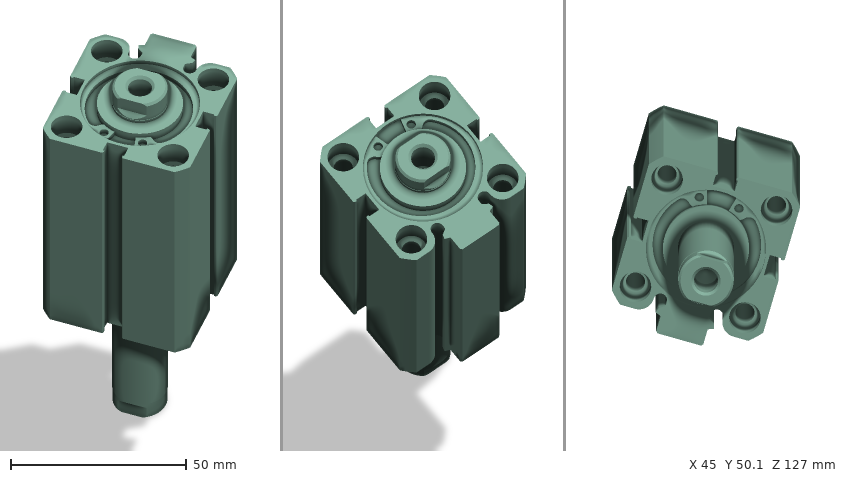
import cadquery as cq
import math

HOUSING_WIDTH = 45.0
HOUSING_LENGTH = 73.0
ROD_ABOVE = 7.0
ROD_BELOW = 47.0
HALF_WIDTH = HOUSING_WIDTH / 2
MID_Z = -HOUSING_LENGTH / 2

CORNER_RADIUS = 29.5
BORE_RADIUS = 17.1
SLOT_FLOOR = 18.0
SLOT_MOUTH_HALF_WIDTH = 2.8
SLOT_MOUTH_CHAMFER = 0.4
SLOT_UNDERCUT = 0.45
SLOT_LIP = 1.0

RAIL_HEIGHT = 5.1
RAIL_HALF_WIDTH = 7.0
RAIL_CHAMFER = 0.5
RAIL_WING_HALF_WIDTH = 8.6
RAIL_WING_ROOT_HALF_WIDTH = 8.3
RAIL_WING_TIP_Y = 21.8
RAIL_WING_ROOT_Y = 20.5
RAIL_NECK_HALF_WIDTH = 6.5
RAIL_NECK_Y = 19.3
CHANNEL_RADIUS = 1.9
CHANNEL_CENTER_Y = 18.0
CHANNEL_CENTER_X = RAIL_NECK_HALF_WIDTH + CHANNEL_RADIUS
CHANNEL_OUTER_X = CHANNEL_CENTER_X + CHANNEL_RADIUS
LOBE_RADIUS = 4.3

BOLT_SPACING = 32.5
BOLT_HOLE_DIAMETER = 5.5
COUNTERBORE_DIAMETER = 9.0
COUNTERBORE_DEPTH = 7.0

RING_DEPTH = 1.3
RING_THICKNESS = 1.7
RING_RADIUS = 17.8
RING_OPENING_RADIUS = 15.5
RING_OPENING_OFFSET = 0.9
RING_GAP_HALF_ANGLE = 15
LUG_RADIUS = 3.3
LUG_FILLET = 2.2
LUG_HOLE_DIAMETER = 2.7
LUG_HOLE_ANGLE = 23.5
LUG_HOLE_DISTANCE = 14.7
LUG_CLEARANCE = 0.3

COLLAR_NOSE_RADIUS = 12.3
COLLAR_SHOULDER_Z = -RING_DEPTH - RING_THICKNESS
COLLAR_LENGTH = 12.7

ROD_RADIUS = 8.0
ROD_END_RADIUS = 7.9
ROD_END_LENGTH = 6.0
ROD_CHAMFER = 0.6
FLAT_HALF_WIDTH = 6.5
FLAT_LENGTH = 4.3
TAP_RADIUS = 3.4
TAP_MOUTH_RADIUS = 4.2
TAP_DEPTH = 13.0
TAP_TIP_ANGLE = 59


def cylinder(radius, top, bottom):
    """Cylinder on the Z axis."""
    return cq.Workplane("XY").workplane(offset=bottom).circle(radius).extrude(top - bottom)


def mirrored_to_other_end(body):
    """Same shape at the lower end of the housing."""
    return body.mirror("XY", (0, 0, MID_Z))


def full_length(sketch):
    """Extrude a section drawn at Z = 0 down the length of the housing."""
    return sketch.extrude(-HOUSING_LENGTH)


def make_t_slot():
    """Cutter for the T-slot on the -Y side."""
    slot_half_width = SLOT_MOUTH_HALF_WIDTH + SLOT_UNDERCUT
    lip_y = -HALF_WIDTH + SLOT_LIP
    half = [
        (slot_half_width, -SLOT_FLOOR),
        (slot_half_width, lip_y),
        (SLOT_MOUTH_HALF_WIDTH, lip_y),
        (SLOT_MOUTH_HALF_WIDTH, -HALF_WIDTH + SLOT_MOUTH_CHAMFER),
        (SLOT_MOUTH_HALF_WIDTH + SLOT_MOUTH_CHAMFER, -HALF_WIDTH),
    ]
    other_half = [(-x, y) for x, y in reversed(half)]
    return full_length(cq.Workplane("XY").polyline(half + other_half).close())


def make_rail():
    """Mounting rail with a small wing along each side."""
    top_y = HALF_WIDTH + RAIL_HEIGHT
    half = [
        (RAIL_NECK_HALF_WIDTH, BORE_RADIUS),
        (RAIL_NECK_HALF_WIDTH, RAIL_NECK_Y),
        (RAIL_WING_ROOT_HALF_WIDTH, RAIL_WING_ROOT_Y),
        (RAIL_WING_HALF_WIDTH, RAIL_WING_TIP_Y),
        (RAIL_HALF_WIDTH, HALF_WIDTH),
        (RAIL_HALF_WIDTH, top_y - RAIL_CHAMFER),
        (RAIL_HALF_WIDTH - RAIL_CHAMFER, top_y),
    ]
    other_half = [(-x, y) for x, y in reversed(half)]
    return full_length(cq.Workplane("XY").polyline(half + other_half).close())


def make_outer_block():
    """Square block with turned corners, the two channels and the rail between them."""
    block = full_length(cq.Workplane("XY").rect(HOUSING_WIDTH, HOUSING_WIDTH))
    recess_depth = HALF_WIDTH - CHANNEL_CENTER_Y
    recess = full_length(
        cq.Workplane("XY")
        .center(0, CHANNEL_CENTER_Y + recess_depth / 2)
        .rect(2 * CHANNEL_OUTER_X, recess_depth)
    )
    block = block.cut(recess)
    lobe_edges = block.edges("|Z").edges(">Y").edges(">>X[1] or >>X[2]")
    block = lobe_edges.fillet(LOBE_RADIUS)
    block = block.intersect(cylinder(CORNER_RADIUS, 0, -HOUSING_LENGTH))

    channels = full_length(
        cq.Workplane("XY")
        .pushPoints([(side * CHANNEL_CENTER_X, CHANNEL_CENTER_Y) for side in (-1, 1)])
        .circle(CHANNEL_RADIUS)
    )
    return block.cut(channels).union(make_rail())


def make_bolt_hole():
    """Cutter for a through hole with a counterbore at each end."""
    hole = cylinder(BOLT_HOLE_DIAMETER / 2, 0, -HOUSING_LENGTH)
    counterbore = cylinder(COUNTERBORE_DIAMETER / 2, 0, -COUNTERBORE_DEPTH)
    return hole.union(counterbore).union(mirrored_to_other_end(counterbore))


def make_housing():
    """Block with T-slots on three sides, bolt holes, bore and ring grooves."""
    housing = make_outer_block()
    slot = make_t_slot()
    for angle in (-90, 0, 90):
        housing = housing.cut(slot.rotate((0, 0, 0), (0, 0, 1), angle))

    bolt_hole = make_bolt_hole()
    for x_side in (-1, 1):
        for y_side in (-1, 1):
            place = (x_side * BOLT_SPACING / 2, y_side * BOLT_SPACING / 2, 0)
            housing = housing.cut(bolt_hole.translate(place))

    groove = cylinder(RING_RADIUS, -RING_DEPTH, -RING_DEPTH - RING_THICKNESS)
    bore = cylinder(BORE_RADIUS, 0, -HOUSING_LENGTH)
    return housing.cut(bore).cut(groove).cut(mirrored_to_other_end(groove))


def make_retaining_ring():
    """Ring with a radial gap on the -Y side and a drilled lug at each end."""
    def disc(radius):
        return cylinder(radius, -RING_DEPTH, -RING_DEPTH - RING_THICKNESS)

    lug_angle = math.radians(LUG_HOLE_ANGLE)
    lug_x = LUG_HOLE_DISTANCE * math.sin(lug_angle)
    lug_y = -LUG_HOLE_DISTANCE * math.cos(lug_angle)

    lug_places = [(side * lug_x, lug_y, 0) for side in (-1, 1)]

    opening = disc(RING_OPENING_RADIUS).translate((0, -RING_OPENING_OFFSET, 0))
    for place in lug_places:
        opening = opening.cut(disc(LUG_RADIUS).translate(place))
    tips = opening.edges("|Z").edges(">X or <X")
    opening = tips.fillet(LUG_FILLET)

    gap_half_width = RING_RADIUS * math.tan(math.radians(RING_GAP_HALF_ANGLE))
    gap = full_length(
        cq.Workplane("XY")
        .polyline([(0, 0), (-gap_half_width, -RING_RADIUS), (gap_half_width, -RING_RADIUS)])
        .close()
    )

    ring = disc(RING_RADIUS).cut(opening).cut(gap).cut(disc(COLLAR_NOSE_RADIUS + LUG_CLEARANCE))
    for place in lug_places:
        ring = ring.cut(disc(LUG_HOLE_DIAMETER / 2).translate(place))
    return ring


def make_collar():
    """Collar with a nose flush with the housing and a shoulder under the retaining ring."""
    nose = cylinder(COLLAR_NOSE_RADIUS, 0, -COLLAR_LENGTH)
    flange = cylinder(BORE_RADIUS, COLLAR_SHOULDER_Z, -COLLAR_LENGTH)
    return nose.union(flange).cut(cylinder(ROD_RADIUS, 0, -COLLAR_LENGTH))


def make_tapped_hole(end_z):
    """Cutter for a blind hole with a chamfered mouth and a conical bottom."""
    mouth_depth = TAP_MOUTH_RADIUS - TAP_RADIUS
    tip_depth = TAP_RADIUS / math.tan(math.radians(TAP_TIP_ANGLE))
    outline = [
        (0, end_z),
        (TAP_MOUTH_RADIUS, end_z),
        (TAP_RADIUS, end_z - mouth_depth),
        (TAP_RADIUS, end_z - TAP_DEPTH),
        (0, end_z - TAP_DEPTH - tip_depth),
    ]
    return cq.Workplane("XZ").polyline(outline).close().revolve(360, (0, 0, 0), (0, 1, 0))


def make_wrench_flat(end_z):
    """Cutter for the flat on the +Y side of a rod end, sloping out at 45 degrees."""
    slope = ROD_RADIUS - FLAT_HALF_WIDTH
    flat_z = end_z - FLAT_LENGTH
    outline = [
        (FLAT_HALF_WIDTH, end_z),
        (FLAT_HALF_WIDTH, flat_z),
        (FLAT_HALF_WIDTH + slope, flat_z - slope),
        (FLAT_HALF_WIDTH + slope, end_z),
    ]
    return cq.Workplane("YZ").polyline(outline).close().extrude(ROD_RADIUS, both=True)


def make_half_rod():
    """Upper half of the rod, from the middle of its length to its upper end."""
    half_length = (ROD_ABOVE + HOUSING_LENGTH + ROD_BELOW) / 2
    shank_top = half_length - ROD_END_LENGTH
    end = cylinder(ROD_END_RADIUS, half_length, shank_top).faces(">Z").chamfer(ROD_CHAMFER)
    half_rod = cylinder(ROD_RADIUS, shank_top, 0).union(end)

    flat = make_wrench_flat(half_length)
    half_rod = half_rod.cut(flat).cut(flat.mirror("XZ"))
    return half_rod.cut(make_tapped_hole(half_length))


def make_rod():
    """Whole rod, moved to its place in the housing."""
    half_rod = make_half_rod()
    rod = half_rod.union(half_rod.mirror("XY"))
    return rod.translate((0, 0, (ROD_ABOVE - HOUSING_LENGTH - ROD_BELOW) / 2))


housing = make_housing()
rod = make_rod()
upper_parts = [make_collar(), make_retaining_ring()]
lower_parts = [mirrored_to_other_end(part) for part in upper_parts]

result = cq.Compound.makeCompound(
    [housing.val(), rod.val()] + [part.val() for part in upper_parts + lower_parts]
)